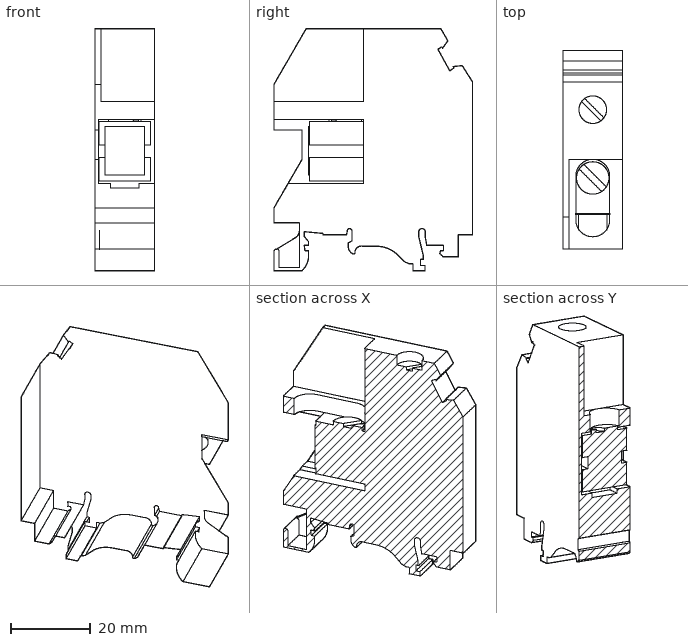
import cadquery as cq
import math

WIDTH = 15.0
DEPTH = 50.0
HEIGHT = 60.9
MID_X = WIDTH / 2

SHELF_TOP = 42.6
UPPER_CHAMFER_Z = 46.9
UPPER_CHAMFER_Y = 8.1
MOUTH_SIDE_TOP = 35.4
MOUTH_SIDE_Y = 7.05
MOUTH_SIDE_LOW = 28.0
LOWER_LEDGE_Z = 15.85
LOWER_LEDGE_BOTTOM = 12.05
MOUTH_SKIN = 0.85
MOUTH_TOP = 38.0
MOUTH_FLOOR = 22.0
TOWER_SKIN = 1.5
TOWER_FRONT = 22.6
MOUTH_BACK = TOWER_FRONT

GROOVE_WIDTH = 7.25
GROOVE_FLOOR = 20.8

CAGE_WIDTH = 13.05
CAGE_TOP = 37.5
CAGE_BOTTOM = 22.6
CAGE_FRONT = 9.0
CAGE_GAP_TOP = 31.6
CAGE_GAP_BOTTOM = 28.55
CORE_WIDTH = 9.9
CORE_TOP = 36.25
CORE_BOTTOM = 24.1
CORE_FRONT = 8.8

SHELF_SLOT_RADIUS = 4.25
SHELF_SLOT_FRONT = 3.1
CLAMP_SCREW_RADIUS = 4.1
CLAMP_SCREW_Y = 17.9
CLAMP_SCREW_TOP = 38.5
CLAMP_SCREW_SLOT = 1.65

TOP_SCREW_RADIUS = 3.5
TOP_SCREW_Y = 35.1
TOP_SCREW_DEPTH = 2.7
TOP_SCREW_SLOT = 1.1
SCREW_SLOT_DEPTH = 0.85
SCREW_SLOT_ANGLE = -45

FOOT_SKIN = 1.1
FOOT_WALL_Y = 6.4
NECK_RADIUS = 2.1
NECK_TANGENT_Z = 10.1
FOOT_SLOPE = 30
FOOT_POCKET_Z = 0.8
LIP_RADIUS = 0.7
LIP_TOP = 5.5

BASE_Z = 9.0
RELIEF_TOP = 10.6
RELIEF_SHOULDER = 9.9
SADDLE_Z = 6.15


def box(x_min, x_max, y_min, y_max, z_min, z_max):
    """Axis-aligned block between the given limits."""
    size = (x_max - x_min, y_max - y_min, z_max - z_min)
    return cq.Workplane("XY").box(*size, centered=False).translate((x_min, y_min, z_min))


def centred_box(width, y_min, y_max, z_min, z_max):
    """Block centred on the middle of the housing width."""
    return box(MID_X - width / 2, MID_X + width / 2, y_min, y_max, z_min, z_max)


def disc(radius, y, z_min, z_max):
    """Upright cylinder on the middle plane."""
    return cq.Workplane("XY", origin=(MID_X, y, z_min)).circle(radius).extrude(z_max - z_min)


def screw_slot(radius, slot_width, y, z_top):
    """Diagonal driver slot across a screw head, cut down from z_top."""
    bar = cq.Workplane("XY").rect(2 * radius, slot_width).extrude(-SCREW_SLOT_DEPTH)
    bar = bar.rotate((0, 0, 0), (0, 0, 1), SCREW_SLOT_ANGLE).translate((MID_X, y, z_top))
    return bar.intersect(disc(radius, y, z_top - SCREW_SLOT_DEPTH, z_top))


def neck_point(angle):
    """(Y, Z) on the neck arc, at an angle in degrees below its end at the foot wall."""
    turn = math.radians(angle)
    y = FOOT_WALL_Y - NECK_RADIUS * (1 - math.cos(turn))
    return (y, NECK_TANGENT_Z - NECK_RADIUS * math.sin(turn))


def housing():
    """Side outline in (Y, Z), extruded over the full width."""
    lip_corner = LIP_RADIUS * (1 - math.sqrt(0.5))
    outline = (
        cq.Workplane("YZ")
        .moveTo(0, LIP_TOP - LIP_RADIUS)
        .threePointArc((lip_corner, LIP_TOP - lip_corner), (LIP_RADIUS, LIP_TOP))
        .lineTo(*neck_point(90 - FOOT_SLOPE))
        .threePointArc(neck_point((90 - FOOT_SLOPE) / 2), neck_point(0))
        .lineTo(FOOT_WALL_Y, LOWER_LEDGE_BOTTOM)
    )
    outline = (
        outline.lineTo(0, LOWER_LEDGE_BOTTOM)
        .lineTo(0, LOWER_LEDGE_Z)
        .lineTo(MOUTH_SIDE_Y, MOUTH_SIDE_LOW)
        .lineTo(MOUTH_SIDE_Y, MOUTH_SIDE_TOP)
        .lineTo(0, MOUTH_SIDE_TOP)
        .lineTo(0, UPPER_CHAMFER_Z)
        .lineTo(UPPER_CHAMFER_Y, HEIGHT)
    )
    outline = (
        outline.lineTo(42.0, HEIGHT)
        .lineTo(43.8, 57.85)
        .lineTo(42.45, 55.95)
        .lineTo(42.25, 56.35)
        .lineTo(41.3, 55.7)
        .lineTo(44.3, 50.3)
        .lineTo(45.3, 51.1)
        .lineTo(45.05, 51.4)
        .lineTo(47.4, 51.65)
        .lineTo(DEPTH, 47.5)
    )
    outline = (
        outline.lineTo(DEPTH, BASE_Z)
        .lineTo(46.4, BASE_Z)
        .lineTo(46.4, 3.55)
        .lineTo(42.55, 3.55)
        .lineTo(41.7, 4.4)
        .lineTo(41.9, 5.05)
        .lineTo(42.6, 5.05)
        .lineTo(42.6, 6.4)
        .lineTo(38.4, 6.4)
        .lineTo(38.05, 8.4)
    )
    outline = (
        outline.lineTo(38.05, RELIEF_SHOULDER)
        .threePointArc((37.3, RELIEF_TOP), (36.5, RELIEF_SHOULDER))
        .lineTo(36.5, 8.5)
        .lineTo(37.6, 4.0)
        .lineTo(37.6, 2.85)
        .lineTo(36.9, 2.85)
        .lineTo(36.9, 1.35)
        .lineTo(38.05, 1.35)
        .lineTo(38.05, 0)
        .lineTo(34.95, 0)
        .lineTo(34.95, 1.75)
        .lineTo(34.05, 1.75)
        .lineTo(32.95, 2.2)
    )
    outline = (
        outline.lineTo(30.65, 4.45)
        .threePointArc((28.15, 5.8), (25.7, SADDLE_Z))
        .lineTo(22.4, SADDLE_Z)
        .threePointArc((21.0, 5.85), (20.45, 5.0))
        .lineTo(20.45, 4.5)
        .threePointArc((20.3, 4.25), (20.0, 4.2))
        .threePointArc((19.05, 4.95), (18.7, 6.2))
        .lineTo(18.7, 7.0)
        .lineTo(19.6, 7.55)
    )
    outline = (
        outline.lineTo(19.6, RELIEF_SHOULDER)
        .threePointArc((19.05, RELIEF_TOP), (18.5, RELIEF_SHOULDER))
        .lineTo(18.3, BASE_Z)
        .lineTo(12.3, BASE_Z)
        .lineTo(12.3, 9.4)
        .lineTo(7.7, 9.8)
    )
    outline = (
        outline.lineTo(7.7, 8.65)
        .lineTo(8.8, 7.3)
        .lineTo(8.8, 6.4)
        .lineTo(7.7, 6.4)
        .lineTo(7.85, 5.05)
        .lineTo(8.8, 5.05)
        .lineTo(8.8, 3.35)
        .threePointArc((8.2, 1.5), (7.05, 0))
        .lineTo(0, 0)
        .close()
    )
    return outline.extrude(WIDTH)


def foot_pocket():
    """Hollow behind the lip of the spring foot, open to the +X side."""
    lip_back = 2 * LIP_RADIUS
    lip_centre_z = LIP_TOP - LIP_RADIUS
    lip_corner = LIP_RADIUS * math.sqrt(0.5)
    return (
        cq.Workplane("YZ", origin=(FOOT_SKIN, 0, 0))
        .moveTo(FOOT_WALL_Y, FOOT_POCKET_Z)
        .lineTo(lip_back, FOOT_POCKET_Z)
        .lineTo(lip_back, lip_centre_z)
        .threePointArc((LIP_RADIUS + lip_corner, lip_centre_z + lip_corner), (LIP_RADIUS, LIP_TOP))
        .lineTo(LIP_RADIUS, LOWER_LEDGE_BOTTOM)
        .lineTo(FOOT_WALL_Y, LOWER_LEDGE_BOTTOM)
        .close()
        .extrude(WIDTH - FOOT_SKIN)
    )


def shelf_slot():
    """Round-ended opening through the shelf, from the shelf top down to the mouth."""
    front_centre = SHELF_SLOT_FRONT + SHELF_SLOT_RADIUS
    rear_centre = TOWER_FRONT - SHELF_SLOT_RADIUS
    slot = centred_box(2 * SHELF_SLOT_RADIUS, front_centre, rear_centre, MOUTH_TOP, SHELF_TOP)
    for y in (front_centre, rear_centre):
        slot = slot.union(disc(SHELF_SLOT_RADIUS, y, MOUTH_TOP, SHELF_TOP))
    return slot


def clamp():
    """Cage with an open gap on both sides, around a core that stands slightly proud."""
    cage = centred_box(CAGE_WIDTH, CAGE_FRONT, MOUTH_BACK, CAGE_BOTTOM, CAGE_TOP)
    cage = cage.cut(box(0, WIDTH, CAGE_FRONT, MOUTH_BACK, CAGE_GAP_BOTTOM, CAGE_GAP_TOP))
    core = centred_box(CORE_WIDTH, CORE_FRONT, MOUTH_BACK, CORE_BOTTOM, CORE_TOP)
    return cage.union(core)


body = housing()

body = body.cut(box(TOWER_SKIN, WIDTH, 0, TOWER_FRONT, SHELF_TOP, HEIGHT))

body = body.cut(box(MOUTH_SKIN, WIDTH, 0, MOUTH_BACK, MOUTH_FLOOR, MOUTH_TOP))
body = body.cut(centred_box(GROOVE_WIDTH, 0, MOUTH_BACK, GROOVE_FLOOR, MOUTH_FLOOR))
body = body.cut(shelf_slot())

body = body.union(clamp())
body = body.union(disc(CLAMP_SCREW_RADIUS, CLAMP_SCREW_Y, CAGE_TOP, CLAMP_SCREW_TOP))
body = body.cut(screw_slot(CLAMP_SCREW_RADIUS, CLAMP_SCREW_SLOT, CLAMP_SCREW_Y, CLAMP_SCREW_TOP))

top_screw_z = HEIGHT - TOP_SCREW_DEPTH
body = body.cut(disc(TOP_SCREW_RADIUS, TOP_SCREW_Y, top_screw_z, HEIGHT))
body = body.cut(screw_slot(TOP_SCREW_RADIUS, TOP_SCREW_SLOT, TOP_SCREW_Y, top_screw_z))

result = body.cut(foot_pocket())